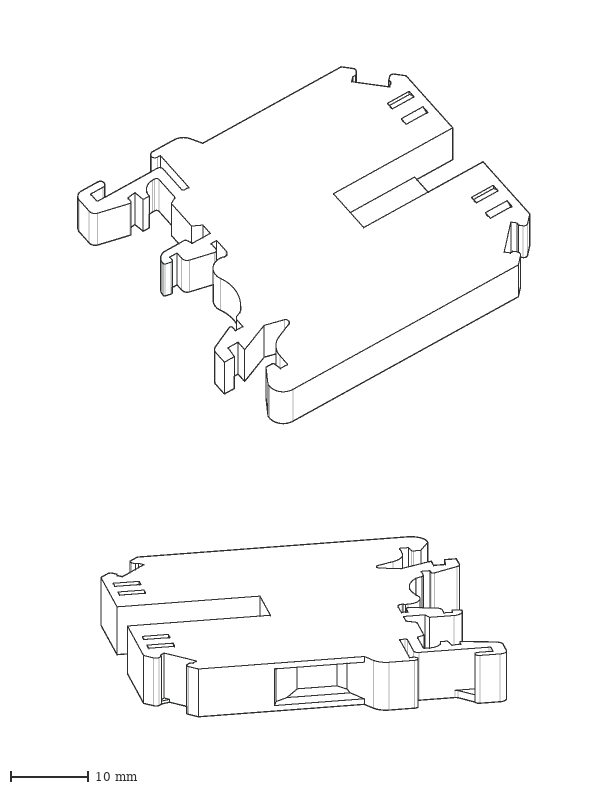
import cadquery as cq
import math


WIDTH = 42.5
HEIGHT = 46.4
THICKNESS = 6.7
CORNER_RADIUS = 4.3 / 2

BODY_LEFT = 2.6
BODY_CENTER = (BODY_LEFT + WIDTH) / 2
CORNER_CUT = 6.05
WALL = 0.8

GROOVE_HALF_MOUTH = 2.2
GROOVE_HALF_FLOOR = 1.65
GROOVE_DEPTH = 2.2
GROOVE_LIP_RADIUS = 0.5
LIP_DEPTH = 1.1
UNDERCUT_HALF_WIDTH = 2.5
UNDERCUT_DEPTH = 1.35
GROOVE_WEB = 0.4

SLOT_WIDTH = 6.8
SLOT_BOTTOM = 27.5
SLOT_LEDGE_DEPTH = 0.32
SLOT_LEDGE_HEIGHT = 1.5
SLOT_FLOOR_TOP = 40.35

EYELET_OFFSET = 9.45
EYELET_WIDTH = 4.2
EYELET_BAR_WIDTH = 2.0
EYELET_BOTTOM = 41.8
EYELET_TOP = 45.25
ARCH_RADIUS = 3.0

GUIDE_ANGLE = 30.0
GUIDE_TOP = 18.45

ENTRY_TOP_Z = 5.9
ENTRY_UPPER = 30.3
ENTRY_UPPER_INNER = 29.9
ENTRY_UPPER_BACK = 26.65
ENTRY_LOWER_BACK = 21.4
ENTRY_FUNNEL_X = 3.9
ENTRY_RAMP_X = 5.0
ENTRY_LOWER_FUNNEL_X = 5.5
ENTRY_BACK_X = 6.05
ENTRY_BACK_Z = 1.5

TAB_WIDTH = 1.1
TAB_TOP = 4.25
TAB_FLOOR = 1.75
TAB_WEB = 1.0
TAB_WEB_TOP = 6.25
TAB_WEB_RADIUS = 0.55
TAB_WEB_OVERLAP = 0.45


def guide_height(x):
    """Height of the sloping wire guide at a given x."""
    return GUIDE_TOP + (x - BODY_LEFT) * math.tan(math.radians(GUIDE_ANGLE))


def rounded_outline(corners):
    """Closed wire through corners (x, y) or (x, y, radius)."""
    segments = []
    for i, corner in enumerate(corners):
        here = cq.Vector(*corner[:2])
        if len(corner) == 2:
            segments.append((here,))
            continue
        to_previous = (cq.Vector(*corners[i - 1][:2]) - here).normalized()
        to_next = (cq.Vector(*corners[(i + 1) % len(corners)][:2]) - here).normalized()
        half_angle = to_previous.getAngle(to_next) / 2
        radius = corner[2]
        tangent = radius / math.tan(half_angle)
        bisector = (to_previous + to_next).normalized()
        middle = here + bisector * (radius / math.sin(half_angle) - radius)
        segments.append((here + to_previous * tangent, middle, here + to_next * tangent))

    outline = cq.Workplane("XY").moveTo(*segments[0][-1].toTuple()[:2])
    for segment in segments[1:] + segments[:1]:
        outline = outline.lineTo(*segment[0].toTuple()[:2])
        if len(segment) == 3:
            outline = outline.threePointArc(segment[1].toTuple()[:2], segment[2].toTuple()[:2])
    return outline.close()


UPPER_BODY = [
    (WIDTH, HEIGHT - CORNER_CUT),
    (WIDTH - CORNER_CUT, HEIGHT),
    (BODY_LEFT + CORNER_CUT, HEIGHT),
    (BODY_LEFT, HEIGHT - CORNER_CUT),
]

WIRE_GUIDE = [
    (BODY_LEFT, GUIDE_TOP),
    (0, guide_height(0), CORNER_RADIUS),
    (0, 11.8, 0.55),
    (TAB_WIDTH, 11.8, 0.535),
    (TAB_WIDTH, 12.8),
    (7.5, 12.8),
    (7.5, 11.85, 0.3),
]

LEFT_FOOT = [
    (BODY_LEFT, 11.85, 0.55),
    (BODY_LEFT, TAB_FLOOR, 0.25),
    (TAB_WIDTH, TAB_FLOOR),
    (TAB_WIDTH, TAB_TOP, 0.535),
    (0, TAB_TOP, 0.55),
    (0, 0, 1.05),
    (4.05, 0, 0.95),
    (5.4, 5.35, 0.25),
    (4.4, 5.35),
    (4.2, 6.6),
    (5.75, 6.8),
    (5.75, 7.8),
    (3.85, 7.8, 1.85),
    (3.85, 10.4, 0.4),
    (7.85, 10.4),
    (8.4, 9.4),
    (12.95, 9.4),
    (13.65, 10.7),
    (15.3, 10.7),
]

MIDDLE_HOOK = [
    (15.3, 7.9),
    (14.35, 7.45),
    (14.35, 2.9, 1.4),
    (16.05, 2.9, 0.2),
    (16.4, 4.18, 0.3),
    (15.5, 4.18),
    (15.5, 5.35),
    (17.2, 5.35, 0.9),
    (18.35, 9.85, 0.35),
    (16.75, 9.85),
    (16.75, 10.7),
    (19.55, 10.7, 0.65),
]

ARCHED_EDGE = [
    (19.55, 9.95),
    (19.4, 9.65),
    (19.4, 6.25, 1.95),
    (25.4, 9.0, 5.3),
    (28.1, 6.45),
    (28.5, 5.6),
    (28.85, 5.35),
    (30.3, 5.35),
]

RIGHT_HOOK = [
    (30.3, 4.18),
    (29.25, 4.18, 0.3),
    (31.25, 0, 0.85),
    (33.75, 0),
    (33.75, 1.6),
    (32.05, 1.75),
    (32.05, 3.35),
    (33.55, 3.35),
    (31.75, 7.7),
    (32.55, 10.7, 0.45),
    (33.25, 10.7, 0.45),
]

RIGHT_TOE = [
    (35.12, 6.5, 2.9),
    (38.75, 6.5),
    (38.75, 5.35),
    (37.5, 5.1, 0.25),
    (37.5, 3.95),
    (40.0, 2.5),
    (WIDTH, 2.5, CORNER_RADIUS),
]


def make_body():
    corners = (
        UPPER_BODY + WIRE_GUIDE + LEFT_FOOT + MIDDLE_HOOK + ARCHED_EDGE + RIGHT_HOOK + RIGHT_TOE
    )
    return rounded_outline(corners).extrude(THICKNESS)


def make_marker_groove():
    """Groove cutter for the upper left corner, undercut above a thin web."""
    corner_plane = cq.Plane(
        origin=(BODY_LEFT + CORNER_CUT / 2, HEIGHT - CORNER_CUT / 2, 0),
        xDir=(1, 1, 0),
        normal=(0, 0, 1),
    )
    lip = GROOVE_LIP_RADIUS
    lip_middle = lip * (1 - math.sqrt(0.5))
    groove = (
        cq.Workplane(corner_plane)
        .moveTo(GROOVE_HALF_MOUTH + lip, 0)
        .threePointArc((GROOVE_HALF_MOUTH + lip_middle, -lip_middle), (GROOVE_HALF_MOUTH, -lip))
        .lineTo(GROOVE_HALF_MOUTH, -LIP_DEPTH)
        .lineTo(GROOVE_HALF_FLOOR, -GROOVE_DEPTH)
        .lineTo(-GROOVE_HALF_FLOOR, -GROOVE_DEPTH)
        .lineTo(-GROOVE_HALF_MOUTH, -LIP_DEPTH)
        .lineTo(-GROOVE_HALF_MOUTH, -lip)
        .threePointArc((-GROOVE_HALF_MOUTH - lip_middle, -lip_middle), (-GROOVE_HALF_MOUTH - lip, 0))
        .close()
        .extrude(THICKNESS)
    )
    undercut = (
        cq.Workplane(corner_plane)
        .workplane(offset=GROOVE_WEB)
        .polyline([
            (GROOVE_HALF_MOUTH, -LIP_DEPTH),
            (UNDERCUT_HALF_WIDTH, -UNDERCUT_DEPTH),
            (UNDERCUT_HALF_WIDTH, -GROOVE_DEPTH),
            (-UNDERCUT_HALF_WIDTH, -GROOVE_DEPTH),
            (-UNDERCUT_HALF_WIDTH, -UNDERCUT_DEPTH),
            (-GROOVE_HALF_MOUTH, -LIP_DEPTH),
        ])
        .close()
        .extrude(THICKNESS)
    )
    return groove.union(undercut)


def make_center_slot():
    """Slot cutter: a thin floor and a narrow ledge stay in its lower part."""
    left = BODY_CENTER - SLOT_WIDTH / 2

    def pocket(bottom, floor_z):
        size = (SLOT_WIDTH, HEIGHT - bottom, THICKNESS - floor_z)
        return cq.Workplane("XY").box(*size, centered=False).translate((left, bottom, floor_z))

    return (
        pocket(SLOT_BOTTOM, SLOT_LEDGE_HEIGHT)
        .union(pocket(SLOT_BOTTOM + SLOT_LEDGE_DEPTH, WALL))
        .union(pocket(SLOT_FLOOR_TOP, 0))
    )


def make_eyelet(x):
    """Pair of pocket cutters whose floors fall away along an arch, from the bar to the outer walls."""
    half_bar = EYELET_BAR_WIDTH / 2
    arch_axis_depth = math.sqrt(ARCH_RADIUS**2 - half_bar**2)
    opening = (
        cq.Workplane("XZ", origin=(x, EYELET_TOP, THICKNESS))
        .rect(EYELET_WIDTH, 2 * arch_axis_depth)
        .extrude(EYELET_TOP - EYELET_BOTTOM)
    )
    arch = (
        cq.Workplane("XZ", origin=(x, EYELET_TOP, THICKNESS - arch_axis_depth))
        .circle(ARCH_RADIUS)
        .extrude(EYELET_TOP - EYELET_BOTTOM)
    )
    return opening.cut(arch)


def make_wire_entry():
    """Wire entry cutter, open to the left side."""
    cavity = (
        cq.Workplane("XY", origin=(0, 0, WALL))
        .polyline([
            (0, guide_height(0)),
            (ENTRY_LOWER_FUNNEL_X, guide_height(ENTRY_LOWER_FUNNEL_X)),
            (ENTRY_BACK_X, ENTRY_LOWER_BACK),
            (ENTRY_BACK_X, ENTRY_UPPER_BACK),
            (ENTRY_FUNNEL_X, ENTRY_UPPER_INNER),
            (BODY_LEFT, ENTRY_UPPER),
            (0, ENTRY_UPPER),
        ])
        .close()
        .extrude(ENTRY_TOP_Z - WALL)
    )
    ramp = (
        cq.Workplane("XZ", origin=(0, ENTRY_UPPER, 0))
        .polyline([(ENTRY_RAMP_X, WALL), (ENTRY_BACK_X, WALL), (ENTRY_BACK_X, ENTRY_BACK_Z)])
        .close()
        .extrude(ENTRY_UPPER - GUIDE_TOP)
    )
    return cavity.cut(ramp)


def make_tab_web():
    """Thin web that joins the release tab to the left foot and blends into its side."""
    half_tab = TAB_WIDTH / 2
    inside_foot = BODY_LEFT + TAB_WEB_OVERLAP
    blend_top = TAB_WEB_TOP + TAB_WEB_RADIUS
    corners = [
        (half_tab, TAB_FLOOR - TAB_WEB_OVERLAP),
        (inside_foot, TAB_FLOOR - TAB_WEB_OVERLAP),
        (inside_foot, blend_top),
        (BODY_LEFT, blend_top),
        (BODY_LEFT, TAB_WEB_TOP, TAB_WEB_RADIUS),
        (half_tab, TAB_TOP),
    ]
    return rounded_outline(corners).extrude(TAB_WEB)


left_groove = make_marker_groove()
right_groove = left_groove.mirror("YZ", (BODY_CENTER, 0, 0))

result = (
    make_body()
    .union(make_tab_web())
    .cut(left_groove)
    .cut(right_groove)
    .cut(make_center_slot())
    .cut(make_wire_entry())
)
for side in (-1, 1):
    result = result.cut(make_eyelet(BODY_CENTER + side * EYELET_OFFSET))